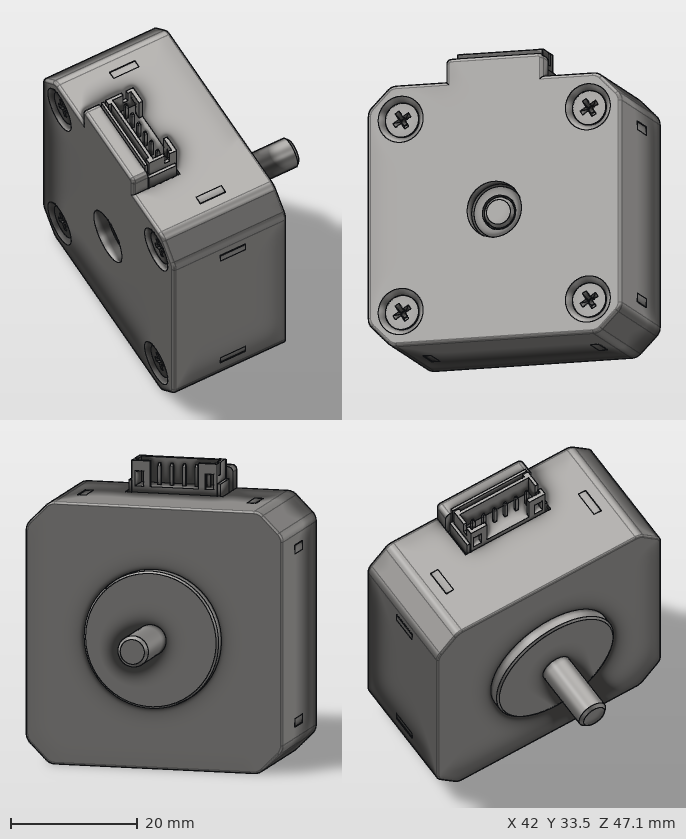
import cadquery as cq


body_size = 42.0
body_length = 20.5
corner_chamfer = 3.85
corner_blend = 2.05
rear_edge_round = 0.5
mounting_edge_round = 0.35
half_body = body_size / 2

pilot_diameter = 22.0
pilot_height = 2.0
pilot_chamfer = 0.35
shaft_diameter = 5.0
shaft_chamfer = 0.5
shaft_rear_y = 2.15
shaft_tip_y = 33.5

bore_diameter = 9.0
bore_floor_diameter = 8.3
bore_depth = 2.5
bore_chamfer_height = 0.15
clearance_diameter = 5.5
clearance_depth = 1.0

screw_offset = 15.5
countersink_diameter = 7.45
screw_head_diameter = 5.5
countersink_depth = 1.0
screw_head_y = 0.6
cross_diameter = 3.0
cross_arm_width = 0.75
cross_angle = 32
cross_depth = 1.5
cross_core_diameter = 1.1
cross_core_extra_depth = 0.25

core_round_radius = 8.0
window_inner = 13.2
window_outer = 14.55
window_y_start = 8.53
window_y_end = 13.1

tab_half_width = 8.0
tab_thickness = 2.8
tab_top = 24.75
tab_round = 0.8
pocket_y_end = 8.53
pocket_depth = 1.0

connector_top = 26.1
base_half_width = 7.5
base_top = 22.9
base_y_start = 3.2
base_y_end = 8.25
shroud_half_width = 6.95
shroud_y_start = 3.55
cavity_half_width = 6.45
cavity_y_start = 4.5
cavity_y_end = 7.85
cavity_floor = 22.0
rear_gap_half_width = 3.95
rear_window_inner = 5.0
rear_window_top = 24.45
front_recess_half_width = 6.0
front_recess_y_end = 4.0
side_slit_y_start = 6.4
side_slit_y_end = 7.25
side_slit_depth = 2.03
plate_top = 25.9

pin_count = 6
pin_pitch = 2.03
pin_width = 0.5
pin_y = 6.15
pin_top = 25.5
pin_tip_height = 0.45
pin_tip_width = 0.3


def block(half_width, y_start, y_end, z_start, z_end, x_center=0):
    """Box centred on x_center along X, between the given Y and Z limits."""
    size = (2 * half_width, y_end - y_start, z_end - z_start)
    return cq.Workplane("XY").box(*size, centered=False).translate((x_center - half_width, y_start, z_start))


def revolved(profile):
    """Solid of revolution about the Y axis from (radius, y) points."""
    return cq.Workplane("XY").polyline(profile).close().revolve(360, (0, 0, 0), (0, 1, 0))


def y_prism(sketch, y_start, y_end):
    """Extrude a sketch drawn on the XZ plane between two Y positions."""
    return sketch.extrude(y_start - y_end).translate((0, y_start, 0))


def make_housing():
    body = y_prism(cq.Workplane("XZ").rect(body_size, body_size), 0, body_length)
    body = body.edges("|Y").chamfer(corner_chamfer)
    body = body.edges("|Y").fillet(corner_blend)
    body = body.faces(">Y").edges().fillet(mounting_edge_round)

    tab = block(tab_half_width, 0, tab_thickness, 0, tab_top)
    tab = tab.edges("|Y and >Z").fillet(tab_round)
    housing = body.union(tab).faces("<Y").edges().fillet(rear_edge_round)

    pocket = block(tab_half_width, tab_thickness, pocket_y_end, half_body - pocket_depth, half_body)
    return housing.cut(pocket)


def make_pilot():
    pilot_radius = pilot_diameter / 2
    pilot_y_end = body_length + pilot_height
    return revolved([
        (0, body_length),
        (pilot_radius, body_length),
        (pilot_radius, pilot_y_end - pilot_chamfer),
        (pilot_radius - pilot_chamfer, pilot_y_end),
        (0, pilot_y_end),
    ])


def make_shaft():
    shaft_radius = shaft_diameter / 2
    end_radius = shaft_radius - shaft_chamfer
    return revolved([
        (0, shaft_rear_y),
        (end_radius, shaft_rear_y),
        (shaft_radius, shaft_rear_y + shaft_chamfer),
        (shaft_radius, shaft_tip_y - shaft_chamfer),
        (end_radius, shaft_tip_y),
        (0, shaft_tip_y),
    ])


def make_rear_bore():
    bore_radius = bore_diameter / 2
    floor_radius = bore_floor_diameter / 2
    clearance_radius = clearance_diameter / 2
    clearance_floor = bore_depth + clearance_depth
    return revolved([
        (0, 0),
        (bore_radius, 0),
        (bore_radius, bore_depth - bore_chamfer_height),
        (floor_radius, bore_depth),
        (clearance_radius, bore_depth),
        (clearance_radius, clearance_floor),
        (0, clearance_floor),
    ])


def make_screw_recess():
    """Countersink around a flat screw head with a tapered cross recess, centred on the Y axis."""
    hole_radius = countersink_diameter / 2
    head_radius = screw_head_diameter / 2
    countersink = revolved([
        (0, 0),
        (hole_radius, 0),
        (head_radius, countersink_depth),
        (head_radius, screw_head_y),
        (0, screw_head_y),
    ])

    core_radius = cross_core_diameter / 2
    tip_radius = cross_diameter / 2
    cross_floor = screw_head_y + cross_depth
    arm_outline = [
        (-tip_radius, screw_head_y),
        (tip_radius, screw_head_y),
        (core_radius, cross_floor),
        (-core_radius, cross_floor),
    ]
    arm = cq.Workplane("XY").polyline(arm_outline).close().extrude(cross_arm_width / 2, both=True)
    cross = arm.union(arm.rotate((0, 0, 0), (0, 1, 0), 90))

    core_wall_end = cross_floor + cross_core_extra_depth
    core = revolved([
        (0, screw_head_y),
        (core_radius, screw_head_y),
        (core_radius, core_wall_end),
        (0, core_wall_end + core_radius),
    ])
    recess = cross.union(core).rotate((0, 0, 0), (0, 1, 0), -cross_angle)
    return countersink.union(recess)


def make_top_window():
    """Cutter for the window on the top face near the +X corner."""
    core_center = half_body - core_round_radius
    core_circle = cq.Workplane("XZ").center(core_center, core_center).circle(core_round_radius)
    core_round = y_prism(core_circle, window_y_start, window_y_end)
    half_width = (window_outer - window_inner) / 2
    opening = block(
        half_width, window_y_start, window_y_end, core_center, half_body, (window_inner + window_outer) / 2
    )
    return opening.cut(core_round)


def make_connector():
    pocket_floor = half_body - pocket_depth
    base = block(base_half_width, base_y_start, base_y_end, pocket_floor, base_top)
    plate = block(shroud_half_width, tab_thickness, base_y_start, pocket_floor, plate_top)

    shroud = block(shroud_half_width, shroud_y_start, pocket_y_end, pocket_floor, connector_top)
    front_recess = block(front_recess_half_width, shroud_y_start, front_recess_y_end, base_top, connector_top)
    side_slits = block(
        shroud_half_width, side_slit_y_start, side_slit_y_end, connector_top - side_slit_depth, connector_top
    )
    shroud = shroud.cut(front_recess).cut(side_slits)

    cavity = block(cavity_half_width, cavity_y_start, cavity_y_end, cavity_floor, connector_top)
    rear_gap = block(rear_gap_half_width, cavity_y_end, pocket_y_end, cavity_floor, connector_top)
    connector = base.union(plate).union(shroud).cut(cavity).cut(rear_gap)

    window_half_width = (cavity_half_width - rear_window_inner) / 2
    window_center = (cavity_half_width + rear_window_inner) / 2
    for side in (-1, 1):
        window = block(
            window_half_width, cavity_y_end, pocket_y_end, cavity_floor, rear_window_top, side * window_center
        )
        connector = connector.cut(window)

    for index in range(pin_count):
        pin_x = (index - (pin_count - 1) / 2) * pin_pitch
        connector = connector.union(make_pin().translate((pin_x, pin_y, 0)))
    return connector


def make_pin():
    """Square pin on the Z axis with a pyramid tip."""
    shank_top = pin_top - pin_tip_height
    shank = block(pin_width / 2, -pin_width / 2, pin_width / 2, half_body, shank_top)
    tip = (
        cq.Workplane("XY", origin=(0, 0, shank_top))
        .rect(pin_width, pin_width)
        .workplane(offset=pin_tip_height)
        .rect(pin_tip_width, pin_tip_width)
        .loft()
    )
    return shank.union(tip)


result = make_housing().union(make_pilot()).cut(make_rear_bore()).union(make_shaft())

for x_side in (-1, 1):
    for z_side in (-1, 1):
        screw_position = (x_side * screw_offset, 0, z_side * screw_offset)
        result = result.cut(make_screw_recess().translate(screw_position))

for quarter_turn in range(4):
    for window in (make_top_window(), make_top_window().mirror("YZ")):
        result = result.cut(window.rotate((0, 0, 0), (0, 1, 0), 90 * quarter_turn))

result = result.union(make_connector())